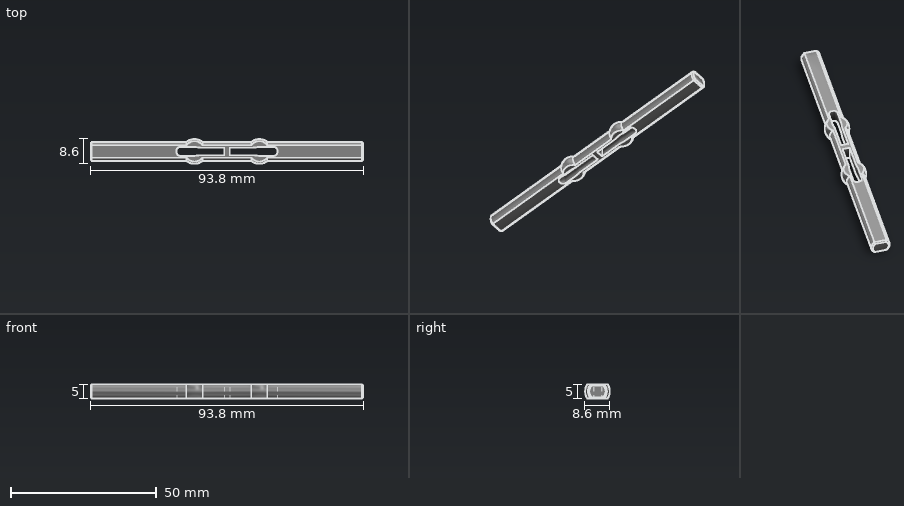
import cadquery as cq

rod_length = 93.75
rod_diameter = 6.6
thickness = 5.0
end_chamfer = 0.5

bulge_diameter = 8.6
bulge_spacing = 22.3

web_width = 2.0
slot_end_x = 17.3
slot_wide_width = 3.0
slot_narrow_width = 2.5
slot_taper_outer_x = bulge_spacing / 2
slot_taper_length = 2.0
slot_taper_inner_x = slot_taper_outer_x - slot_taper_length
slot_corner_radius = 1.25


def make_rod():
    """Round bar with flats, chamfered all round both end faces."""
    bar = cq.Workplane("YZ").circle(rod_diameter / 2).extrude(rod_length / 2, both=True)
    flats = cq.Workplane("XY").box(rod_length, rod_diameter, thickness)
    return bar.intersect(flats).faces("<X or >X").chamfer(end_chamfer)


def make_bulge(center_x):
    """Ball centred on the rod axis, cut down to the rod's thickness."""
    ball = cq.Workplane("XY").sphere(bulge_diameter / 2)
    flats = cq.Workplane("XY").box(bulge_diameter, bulge_diameter, thickness)
    return ball.intersect(flats).translate((center_x, 0, 0))


def make_slot():
    """Cutter for the +X slot: narrow beside the web, tapering out to a wider rounded end."""
    web_face_x = web_width / 2
    wide = slot_wide_width / 2
    narrow = slot_narrow_width / 2
    cutter = (
        cq.Workplane("XY")
        .moveTo(web_face_x, -narrow)
        .lineTo(slot_taper_inner_x, -narrow)
        .lineTo(slot_taper_outer_x, -wide)
        .lineTo(slot_end_x, -wide)
        .lineTo(slot_end_x, wide)
        .lineTo(slot_taper_outer_x, wide)
        .lineTo(slot_taper_inner_x, narrow)
        .lineTo(web_face_x, narrow)
        .close()
        .extrude(thickness / 2, both=True)
    )
    return cutter.edges("|Z and >X").fillet(slot_corner_radius)


result = make_rod()
for side in (-1, 1):
    result = result.union(make_bulge(side * bulge_spacing / 2))

right_slot = make_slot()
left_slot = right_slot.mirror("YZ")
result = result.cut(right_slot).cut(left_slot)